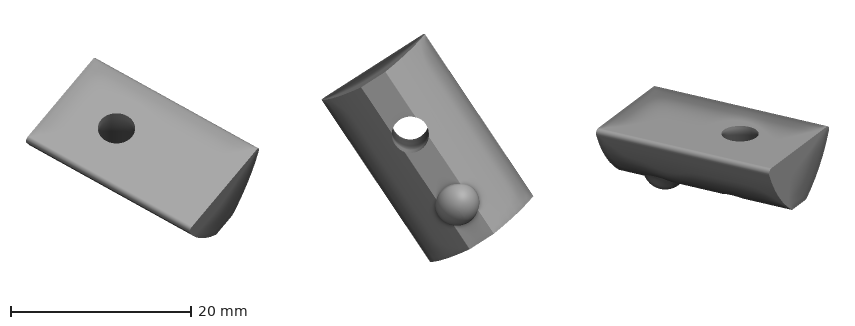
import cadquery as cq
import math

length = 22.0
width = 13.68
body_height = 7.0
bottom_width = 3.21
corner_radius = 0.5
corner_end_angle = 25.0
flank_mid_y = 4.62
flank_mid_z = 2.77

hole_diameter = 4.14
hole_x = 7.5
ball_radius = 2.5
ball_x = 17.0
overall_height = 8.7

corner_y = width / 2 - corner_radius
corner_z = body_height - corner_radius


def corner_point(angle):
    """Point on the right-hand corner round, at an angle in degrees above horizontal."""
    turn = math.radians(angle)
    return (
        corner_y + corner_radius * math.cos(turn),
        corner_z + corner_radius * math.sin(turn),
    )


def mirrored(point):
    """The same point on the opposite side of the centre line."""
    return (-point[0], point[1])


def make_body():
    bottom = (bottom_width / 2, 0)
    flank_mid = (flank_mid_y, flank_mid_z)
    flank_end = corner_point(-corner_end_angle)
    corner_mid = corner_point((90 - corner_end_angle) / 2)
    top = corner_point(90)
    return (
        cq.Workplane("YZ")
        .moveTo(*bottom)
        .threePointArc(flank_mid, flank_end)
        .threePointArc(corner_mid, top)
        .lineTo(*mirrored(top))
        .threePointArc(mirrored(corner_mid), mirrored(flank_end))
        .threePointArc(mirrored(flank_mid), mirrored(bottom))
        .close()
        .extrude(length)
    )


def make_ball():
    ball_z = body_height - overall_height + ball_radius
    return cq.Workplane("XY").sphere(ball_radius).translate((ball_x, 0, ball_z))


def make_hole():
    return cq.Workplane("XY").center(hole_x, 0).circle(hole_diameter / 2).extrude(body_height)


result = make_body().union(make_ball()).cut(make_hole())